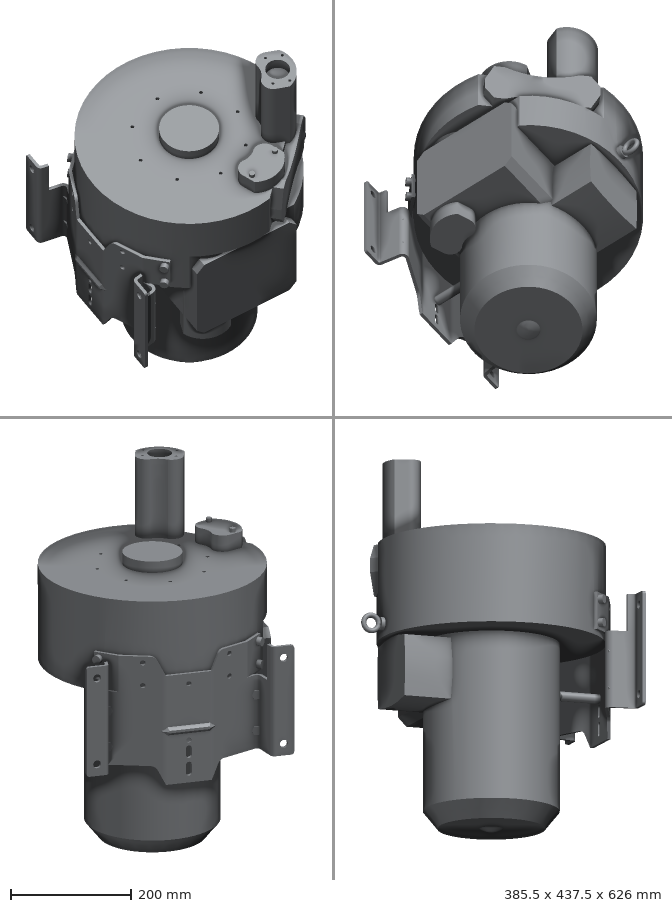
import cadquery as cq
import math

HOUSING_RADIUS = 191.0
HOUSING_BOTTOM = 319.0
HOUSING_TOP = 486.0
HOUSING_STEP_Z = 400.5
LOWER_FLAT_X = 160.0
HUB_RADIUS = 50.0
HUB_HEIGHT = 20.0
COVER_HOLE_CIRCLE_RADIUS = 96.5
COVER_HOLE_RADIUS = 3.0
COVER_HOLE_DEPTH = 6.0
COVER_HOLE_COUNT = 8

MOTOR_RADIUS = 114.0
MOTOR_CONE_TOP = 35.0
MOTOR_BASE_Z = 5.5
MOTOR_BASE_RADIUS = 90.0
MOTOR_CAP_RADIUS = 20.0

JUNCTION_HALF_WIDTH = 62.0
JUNCTION_BULGE_X = 2.5
JUNCTION_BOTTOM = 208.0
JUNCTION_TOP = 312.0
JUNCTION_BULGE_Z = 6.0
JUNCTION_END_Y = 178.5

SIDE_BOX_END_X = 176.0
SIDE_BOX_WIDTH = 198.0
SIDE_BOX_BOTTOM = 206.5
SIDE_BOX_TOP = 382.0
SIDE_BOX_CHAMFER = 14.5

PORT_OFFSET_NEAR = 57.5
PORT_OFFSET_FAR = 138.5
PORT_TILT = 20.5
PORT_HALF_WIDTH = 41.0
PORT_SHOULDER = 12.0
PORT_CROWN = 31.0
PORT_LOBE_X = 15.5
PORT_LOBE_Y = 32.0
PORT_LOBE_MID_X = 31.0
PORT_LOBE_MID_Y = 29.5
PORT_WAIST_Y = 28.0
PORT_ROOT = 6.0
PIPE_TOP = 626.0
PIPE_BORE_RADIUS = 20.5
PIPE_BORE_DEPTH = 20.5
PIPE_HOLE_X = 28.0
PIPE_HOLE_Y = 14.5
PIPE_HOLE_RADIUS = 2.5
PIPE_HOLE_DEPTH = 12.5
SILENCER_TOP = 514.5
OUTLET_BOTTOM = 173.5
SILENCER_BOLT_X = 32.0
SILENCER_BOLT_RADIUS = 5.0
SILENCER_BOLT_HEIGHT = 7.0

FLANGE_ANGLE = 45.0
FLANGE_INNER = 159.0
FLANGE_OUTER = 178.0
FLANGE_HALF_LENGTH = 97.0
FLANGE_TIP_HALF_HEIGHT = 12.0
FLANGE_TIP_SHIFT = 6.0
FLANGE_LOBE_END = 81.5
FLANGE_LOBE_START = 62.5
FLANGE_WAIST_DEPTH = 15.5
FLANGE_TOP = 487.5

EYE_Y = 214.0
EYE_Z = 340.0
EYE_RING_RADIUS = 13.0
EYE_WIRE_RADIUS = 4.5
EYE_COLLAR_RADIUS = 11.0
EYE_COLLAR_START_Y = 193.0
EYE_COLLAR_THICKNESS = 6.0
EYE_STEM_RADIUS = 5.0
EYE_STEM_DEPTH = 6.0

SAME_POINT = 0.0005

SHEET_THICKNESS = 5.5
SHEET_INNER = 191.5
WING_ANGLE = 23.5
TAB_ANGLE = 45.0
WING_TOP = 390.5
WING_BOTTOM = 197.0
WEB_TOP = 357.5
WEB_BOTTOM = 164.5
WEB_HALF_WIDTH = 40.0
WING_EDGE_X = 56.5
SHOULDER_RADIUS = 12.5
FOOT_TIP_X = 181.5
FOOT_Y = -206.0
KNEE_X = 145.0
LEG_TOP_X = 137.0
CREST_Y = -156.5
WEB_BEND_RADIUS = 20.0
TAB_BEND_RADIUS = 5.0
CREST_BEND_RADIUS = 9.0
KNEE_BEND_RADIUS = 5.5
NOTCH_INNER_X = 108.0
NOTCH_OUTER_X = 150.0
NOTCH_DEPTH_Y = -187.0
TAB_BOTTOM = 327.5
TAB_ROOT = 6.0
TAB_OVERHANG = 9.0
FOOT_CORNER_RADIUS = 5.0

FOOT_HOLE_X = 163.5
FOOT_HOLE_RADIUS = 7.0
FOOT_HOLE_HEIGHTS = (218.0, 370.0)
SCREW_HEIGHTS = (339.0, 379.5)
SHEET_HOLE_RADIUS = 4.5
WING_HOLE_X = 76.0
SLOT_WIDTH = 10.0
SLOTS = ((219.0, 22.0), (189.0, 24.5))
BEAD_Z = 259.0
BEAD_LENGTH = 99.0
BEAD_WIDTH = 24.5
BEAD_FLAT_LENGTH = 79.0
BEAD_TIP_WIDTH = 4.0
BEAD_BASE_Y = -192.0
BEAD_HEIGHT = 10.0
BEAD_TAPER = 45.0
STUD_Z = 240.0
STUD_RADIUS = 8.0
TAB_BOLT_RADIUS = 7.5
TAB_BOLT_HEIGHT = 9.0
TAB_BOLT_DEPTH = 6.0
NUT_X = 130.0
NUT_HEIGHTS = (230.0, 293.0)
NUT_SIDES = 6
NUT_SIZE = 17.5
NUT_HEIGHT = 3.0


def cylinder_y(x, z, radius, y_start, y_end):
    """Cylinder along Y between two Y positions."""
    plane = cq.Plane(origin=(x, y_start, z), xDir=(1, 0, 0), normal=(0, 1, 0))
    return cq.Workplane(plane).circle(radius).extrude(y_end - y_start)


def make_housing():
    lower = cq.Workplane("XY").workplane(offset=HOUSING_BOTTOM).circle(HOUSING_RADIUS)
    lower = lower.extrude(HOUSING_STEP_Z - HOUSING_BOTTOM)
    beyond_flat = cq.Workplane("XY").box(
        HOUSING_RADIUS, 2 * HOUSING_RADIUS, HOUSING_TOP, centered=(False, True, False)
    )
    lower = lower.cut(beyond_flat.translate((LOWER_FLAT_X, 0, 0)))

    upper = cq.Workplane("XY").workplane(offset=HOUSING_STEP_Z).circle(HOUSING_RADIUS)
    upper = upper.extrude(HOUSING_TOP - HOUSING_STEP_Z)
    beyond_flange = beyond_flat.translate((FLANGE_INNER, 0, 0))
    upper = upper.cut(beyond_flange.rotate((0, 0, 0), (0, 0, 1), FLANGE_ANGLE))

    holes = (
        cq.Workplane("XY").workplane(offset=HOUSING_TOP - COVER_HOLE_DEPTH)
        .polarArray(COVER_HOLE_CIRCLE_RADIUS, 0, 360, COVER_HOLE_COUNT)
        .circle(COVER_HOLE_RADIUS).extrude(COVER_HOLE_DEPTH)
    )
    hub = cq.Workplane("XY").workplane(offset=HOUSING_TOP).circle(HUB_RADIUS).extrude(HUB_HEIGHT)
    return lower.union(upper).cut(holes).union(hub)


def make_flange():
    angle = math.radians(FLANGE_ANGLE)
    outward = (math.cos(angle), math.sin(angle), 0)
    along = (-math.sin(angle), math.cos(angle), 0)
    plane = cq.Plane(
        origin=(FLANGE_INNER * outward[0], FLANGE_INNER * outward[1], 0), xDir=along, normal=outward
    )
    middle = (FLANGE_TOP + HOUSING_STEP_Z) / 2
    tip_top = middle + FLANGE_TIP_HALF_HEIGHT
    tip_bottom = middle - FLANGE_TIP_HALF_HEIGHT
    profile = (
        cq.Workplane(plane)
        .moveTo(-FLANGE_HALF_LENGTH, tip_bottom - FLANGE_TIP_SHIFT)
        .lineTo(-FLANGE_HALF_LENGTH, tip_top - FLANGE_TIP_SHIFT)
        .lineTo(-FLANGE_LOBE_END, FLANGE_TOP)
        .lineTo(-FLANGE_LOBE_START, FLANGE_TOP)
        .threePointArc((0, FLANGE_TOP - FLANGE_WAIST_DEPTH), (FLANGE_LOBE_START, FLANGE_TOP))
        .lineTo(FLANGE_LOBE_END, FLANGE_TOP)
        .lineTo(FLANGE_HALF_LENGTH, tip_top + FLANGE_TIP_SHIFT)
        .lineTo(FLANGE_HALF_LENGTH, tip_bottom + FLANGE_TIP_SHIFT)
        .lineTo(FLANGE_LOBE_END, HOUSING_STEP_Z)
        .lineTo(FLANGE_LOBE_START, HOUSING_STEP_Z)
        .threePointArc((0, HOUSING_STEP_Z + FLANGE_WAIST_DEPTH), (-FLANGE_LOBE_START, HOUSING_STEP_Z))
        .lineTo(-FLANGE_LOBE_END, HOUSING_STEP_Z)
        .close()
    )
    return profile.extrude(FLANGE_OUTER - FLANGE_INNER)


def make_motor():
    return (
        cq.Workplane("XZ")
        .moveTo(0, 0)
        .threePointArc((MOTOR_CAP_RADIUS / 2, MOTOR_BASE_Z / 4), (MOTOR_CAP_RADIUS, MOTOR_BASE_Z))
        .lineTo(MOTOR_BASE_RADIUS, MOTOR_BASE_Z)
        .lineTo(MOTOR_RADIUS, MOTOR_CONE_TOP)
        .lineTo(MOTOR_RADIUS, HOUSING_BOTTOM)
        .lineTo(0, HOUSING_BOTTOM)
        .close()
        .revolve(360, (0, 0, 0), (0, 1, 0))
    )


def make_junction_box():
    w = JUNCTION_HALF_WIDTH
    middle = (JUNCTION_BOTTOM + JUNCTION_TOP) / 2
    return (
        cq.Workplane("XZ")
        .moveTo(-w, JUNCTION_BOTTOM)
        .threePointArc((0, JUNCTION_BOTTOM - JUNCTION_BULGE_Z), (w, JUNCTION_BOTTOM))
        .threePointArc((w + JUNCTION_BULGE_X, middle), (w, JUNCTION_TOP))
        .threePointArc((0, JUNCTION_TOP + JUNCTION_BULGE_Z), (-w, JUNCTION_TOP))
        .threePointArc((-w - JUNCTION_BULGE_X, middle), (-w, JUNCTION_BOTTOM))
        .close()
        .extrude(-JUNCTION_END_Y)
    )


def make_side_box():
    box = cq.Workplane("XY").box(
        SIDE_BOX_END_X, SIDE_BOX_WIDTH, SIDE_BOX_TOP - SIDE_BOX_BOTTOM, centered=(False, True, False)
    )
    return box.edges("|X").chamfer(SIDE_BOX_CHAMFER).translate((0, 0, SIDE_BOX_BOTTOM))


def port_block(bottom, top):
    """Lobed block standing on its own axes, crown towards +Y and waist towards -Y."""
    return (
        cq.Workplane("XY").workplane(offset=bottom)
        .moveTo(-PORT_HALF_WIDTH, PORT_SHOULDER)
        .threePointArc((0, PORT_CROWN), (PORT_HALF_WIDTH, PORT_SHOULDER))
        .lineTo(PORT_HALF_WIDTH, -PORT_SHOULDER)
        .threePointArc((PORT_LOBE_MID_X, -PORT_LOBE_MID_Y), (PORT_LOBE_X, -PORT_LOBE_Y))
        .threePointArc((0, -PORT_WAIST_Y), (-PORT_LOBE_X, -PORT_LOBE_Y))
        .threePointArc((-PORT_LOBE_MID_X, -PORT_LOBE_MID_Y), (-PORT_HALF_WIDTH, -PORT_SHOULDER))
        .close()
        .extrude(top - bottom)
    )


def make_pipe():
    block = port_block(HOUSING_TOP - PORT_ROOT, PIPE_TOP)
    bore = cq.Workplane("XY").workplane(offset=PIPE_TOP - PIPE_BORE_DEPTH).circle(PIPE_BORE_RADIUS)
    holes = (
        cq.Workplane("XY").workplane(offset=PIPE_TOP - PIPE_HOLE_DEPTH)
        .rect(2 * PIPE_HOLE_X, 2 * PIPE_HOLE_Y, forConstruction=True).vertices()
        .circle(PIPE_HOLE_RADIUS).extrude(PIPE_HOLE_DEPTH)
    )
    pipe = block.cut(bore.extrude(PIPE_BORE_DEPTH)).cut(holes)
    pipe = pipe.rotate((0, 0, 0), (0, 0, 1), -PORT_TILT)
    return pipe.translate((PORT_OFFSET_NEAR, PORT_OFFSET_FAR, 0))


def place_beside_pipe(block):
    """Move a block to the image of the pipe in the 45 degree diagonal."""
    block = block.rotate((0, 0, 0), (0, 0, 1), PORT_TILT - 90)
    return block.translate((PORT_OFFSET_FAR, PORT_OFFSET_NEAR, 0))


def make_silencer():
    bolts = (
        cq.Workplane("XY").workplane(offset=SILENCER_TOP)
        .pushPoints([(-SILENCER_BOLT_X, 0), (SILENCER_BOLT_X, 0)])
        .circle(SILENCER_BOLT_RADIUS).extrude(SILENCER_BOLT_HEIGHT)
    )
    silencer = port_block(HOUSING_TOP - PORT_ROOT, SILENCER_TOP).union(bolts)
    return place_beside_pipe(silencer)


def make_outlet():
    """Lower port block, the mirror image of the silencer block on the -Y side."""
    return place_beside_pipe(port_block(OUTLET_BOTTOM, HOUSING_STEP_Z)).mirror("XZ")


def make_lifting_eye():
    ring = cq.Workplane(cq.Solid.makeTorus(
        EYE_RING_RADIUS, EYE_WIRE_RADIUS, cq.Vector(0, EYE_Y, EYE_Z), cq.Vector(1, 0, 0)
    ))
    collar_end = EYE_COLLAR_START_Y + EYE_COLLAR_THICKNESS
    collar = cylinder_y(0, EYE_Z, EYE_COLLAR_RADIUS, EYE_COLLAR_START_Y, collar_end)
    stem = cylinder_y(0, EYE_Z, EYE_STEM_RADIUS, HOUSING_RADIUS - EYE_STEM_DEPTH, EYE_Y - EYE_RING_RADIUS)
    return ring.union(collar).union(stem)


def sheet_corner(angle_1, angle_2):
    """Mid-plane point, on the +X side, where the flats at two angles from -Y meet."""
    middle = math.radians((angle_1 + angle_2) / 2)
    half_turn = math.radians((angle_2 - angle_1) / 2)
    distance = (SHEET_INNER + SHEET_THICKNESS / 2) / math.cos(half_turn)
    return (distance * math.sin(middle), -distance * math.cos(middle))


def bent_strip(points, bend_radii, bottom, top):
    """Sheet of constant thickness along a mid-plane path, with one bend radius per inner point."""
    path = cq.Wire.makePolygon([cq.Vector(x, y, bottom) for x, y in points])
    for (x, y), radius in zip(points[1:-1], bend_radii):
        corner = cq.Vector(x, y, bottom)
        at_corner = [v for v in path.Vertices() if (v.Center() - corner).Length < SAME_POINT]
        path = path.fillet(radius, at_corner)
    start = cq.Vector(*points[0], bottom)
    direction = cq.Vector(*points[1], bottom) - start
    plane = cq.Plane(origin=start, xDir=(0, 0, 1), normal=direction)
    height = top - bottom
    section = cq.Workplane(plane).center(height / 2, 0).rect(height, SHEET_THICKNESS)
    return section.sweep(cq.Workplane(path))


def mirrored(points):
    return [(-x, y) for x, y in reversed(points)]


def both_sides(x_positions):
    return [side * x for x in x_positions for side in (-1, 1)]


def make_sheet():
    web_corner = sheet_corner(0, WING_ANGLE)
    wing = math.radians(WING_ANGLE)
    mid_distance = SHEET_INNER + SHEET_THICKNESS / 2
    crest_x = (mid_distance + CREST_Y * math.cos(wing)) / math.sin(wing)
    foot_mid_y = FOOT_Y + SHEET_THICKNESS / 2
    crest = [(crest_x, CREST_Y), (LEG_TOP_X, CREST_Y)]
    foot = [(KNEE_X, foot_mid_y), (FOOT_TIP_X, foot_mid_y)]
    half = [web_corner] + crest + foot
    half_bends = [WEB_BEND_RADIUS, CREST_BEND_RADIUS, CREST_BEND_RADIUS, KNEE_BEND_RADIUS]
    bends = half_bends[::-1] + half_bends
    sheet = bent_strip(mirrored(half) + half, bends, WEB_BOTTOM, WING_TOP)

    upper = [(WEB_HALF_WIDTH, WEB_TOP), (WING_EDGE_X, WING_TOP), (FOOT_TIP_X, WING_TOP)]
    lower = [(FOOT_TIP_X, WING_BOTTOM), (WING_EDGE_X, WING_BOTTOM), (WEB_HALF_WIDTH, WEB_BOTTOM)]
    half_outline = upper + lower
    outline = cq.Workplane("XZ").polyline(half_outline + mirrored(half_outline)).close()
    outline = outline.extrude(-FOOT_Y)
    outline = outline.edges("|Y").edges("<X or >X").fillet(FOOT_CORNER_RADIUS)
    for x in both_sides([WING_EDGE_X]):
        for z in (WING_BOTTOM, WING_TOP):
            shoulder = cq.NearestToPointSelector((x, FOOT_Y / 2, z))
            outline = outline.edges(shoulder).fillet(SHOULDER_RADIUS)
    sheet = sheet.intersect(outline)

    notch = cq.Workplane("XY").box(
        NOTCH_OUTER_X - NOTCH_INNER_X, HOUSING_RADIUS, WING_TOP - TAB_BOTTOM, centered=False
    ).translate((NOTCH_INNER_X, NOTCH_DEPTH_Y, TAB_BOTTOM))
    return sheet.cut(notch).cut(notch.mirror("YZ"))


def make_tab():
    """Upper tab on the +X side, bent further towards the housing than the wing."""
    corner = sheet_corner(WING_ANGLE, TAB_ANGLE)
    angle = math.radians(TAB_ANGLE)
    mid_distance = SHEET_INNER + SHEET_THICKNESS / 2
    end = (
        mid_distance * math.sin(angle) + TAB_OVERHANG * math.cos(angle),
        -mid_distance * math.cos(angle) + TAB_OVERHANG * math.sin(angle),
    )
    wing = math.radians(WING_ANGLE)
    start = (corner[0] - TAB_ROOT * math.cos(wing), corner[1] - TAB_ROOT * math.sin(wing))
    tab = bent_strip([start, corner, end], [TAB_BEND_RADIUS], TAB_BOTTOM, WING_TOP)

    bolt_start = HOUSING_RADIUS - TAB_BOLT_DEPTH
    bolt_length = mid_distance + SHEET_THICKNESS / 2 + TAB_BOLT_HEIGHT - bolt_start
    outward = (math.sin(angle), -math.cos(angle), 0)
    for z in SCREW_HEIGHTS:
        origin = (bolt_start * outward[0], bolt_start * outward[1], z)
        plane = cq.Plane(origin=origin, xDir=(0, 0, 1), normal=outward)
        tab = tab.union(cq.Workplane(plane).circle(TAB_BOLT_RADIUS).extrude(bolt_length))
    return tab


def make_sheet_holes():
    """Cutters for the foot holes, the wing and web screw holes and the two slots."""
    reach = CREST_Y - FOOT_Y
    plane = cq.Workplane("XZ", origin=(0, CREST_Y, 0))
    feet = plane.pushPoints([(x, z) for x in both_sides([FOOT_HOLE_X]) for z in FOOT_HOLE_HEIGHTS])
    cutters = feet.circle(FOOT_HOLE_RADIUS).extrude(reach)
    screws = [(x, z) for x in both_sides([WING_HOLE_X]) for z in SCREW_HEIGHTS]
    screws += [(0, SCREW_HEIGHTS[0]), (0, STUD_Z)]
    cutters = cutters.union(plane.pushPoints(screws).circle(SHEET_HOLE_RADIUS).extrude(reach))
    for z, length in SLOTS:
        cutters = cutters.union(plane.center(0, z).slot2D(length, SLOT_WIDTH, 90).extrude(reach))
    return cutters


def make_bead():
    tip = (BEAD_LENGTH / 2, BEAD_TIP_WIDTH / 2)
    side = (BEAD_FLAT_LENGTH / 2, BEAD_WIDTH / 2)
    upper = [(-tip[0], tip[1]), (-side[0], side[1]), side, tip]
    lower = [(-x, -z) for x, z in upper]
    base = cq.Workplane("XZ", origin=(0, BEAD_BASE_Y, BEAD_Z)).polyline(upper + lower).close()
    return base.extrude(BEAD_HEIGHT, taper=BEAD_TAPER)


def make_nuts():
    """Hexagonal nuts under the crests of the two feet."""
    nuts = cq.Workplane("XZ", origin=(0, CREST_Y, 0))
    nuts = nuts.pushPoints([(x, z) for x in both_sides([NUT_X]) for z in NUT_HEIGHTS])
    return nuts.polygon(NUT_SIDES, NUT_SIZE).extrude(SHEET_THICKNESS / 2 + NUT_HEIGHT)


def make_stud():
    """Stud between the motor and the web of the sheet."""
    return cylinder_y(0, STUD_Z, STUD_RADIUS, -SHEET_INNER - SHEET_THICKNESS / 2, 0)


def make_mount():
    tab = make_tab()
    mount = make_sheet().union(tab).union(tab.mirror("YZ"))
    return mount.union(make_bead()).cut(make_sheet_holes()).union(make_nuts())


result = (
    make_housing()
    .union(make_flange())
    .union(make_motor())
    .union(make_junction_box())
    .union(make_side_box())
    .union(make_pipe())
    .union(make_silencer())
    .union(make_outlet())
    .union(make_lifting_eye())
    .union(make_stud())
    .union(make_mount())
)